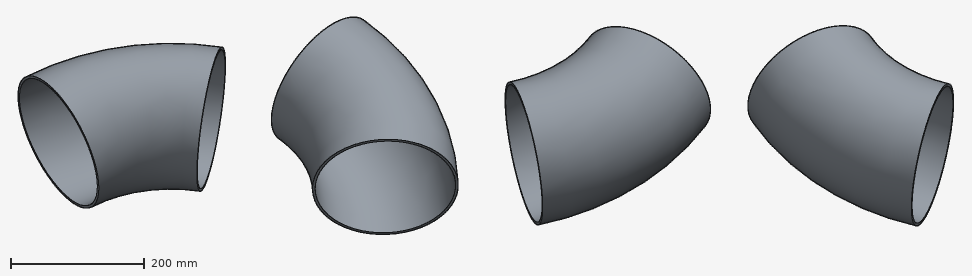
import cadquery as cq
import math

bend_angle = 45.0
tube_diameter = 219.0
wall = 4.0
length_y = 293.0

tube_radius = tube_diameter / 2
bend_radius = length_y / math.sin(math.radians(bend_angle)) - tube_radius


def bent_rod(radius):
    """Solid round rod from the XZ plane, bent towards +X about a vertical axis."""
    axis_start = (bend_radius, 0)
    axis_end = (bend_radius, -1)
    return cq.Workplane("XZ").circle(radius).revolve(bend_angle, axis_start, axis_end)


result = bent_rod(tube_radius).cut(bent_rod(tube_radius - wall))